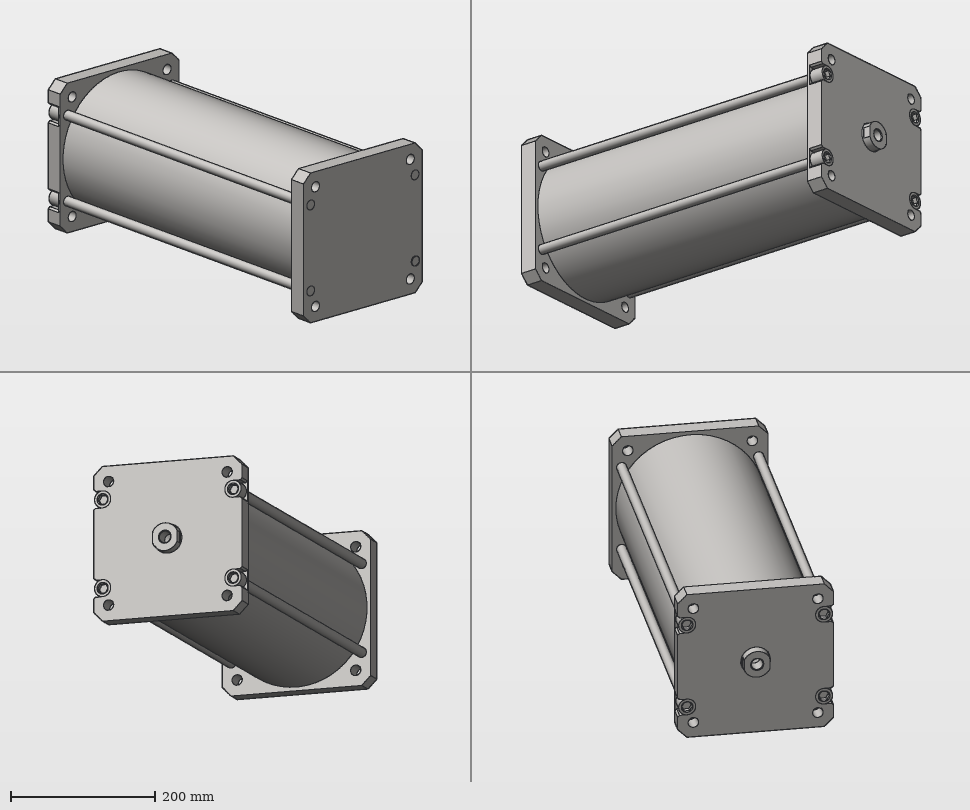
import cadquery as cq
import math

TOTAL_LENGTH = 549.0
NOSE_LENGTH = 12.0
LONG_ROD_STICKOUT = 1.5
PLATE_THICKNESS = 25.0

SHAFT_TIP_X = -TOTAL_LENGTH / 2
FRONT_PLATE_X = SHAFT_TIP_X + NOSE_LENGTH
BARREL_START_X = FRONT_PLATE_X + PLATE_THICKNESS
REAR_FACE_X = TOTAL_LENGTH / 2 - LONG_ROD_STICKOUT
BARREL_END_X = REAR_FACE_X - PLATE_THICKNESS

PLATE_SIDE = 220.0
PLATE_CHAMFER = 13.0
MOUNT_HOLE_DIAMETER = 15.0
MOUNT_HOLE_SPACING = 176.0

BARREL_RADIUS = 105.0

SHAFT_RADIUS = 20.0
SHAFT_CLEARANCE = 1.0
FLAT_WIDTH = 36.0
FLAT_LENGTH = 10.5
SHAFT_BORE_RADIUS = 8.0
SHAFT_BORE_CHAMFER = 1.0
SHAFT_BORE_DEPTH = 22.0
DRILL_POINT_ANGLE = 118.0

ROD_RADIUS = 7.0
ROD_Y = 96.5
ROD_Z = 63.0
HEAD_RADIUS = 12.0
MOUTH_CHAMFER = 3.0
HEAD_POCKET_DEPTH = 21.5
SOCKET_WIDTH = 13.0
SOCKET_DEPTH = 8.0
SOCKET_MOUTH_RADIUS = 8.0

ROD_POSITIONS = [(y, z) for y in (-ROD_Y, ROD_Y) for z in (-ROD_Z, ROD_Z)]
LONG_ROD_POSITION = (ROD_Y, -ROD_Z)


def section_plane(x):
    """Plane across the X axis, with local coordinates (Y, Z) and its normal along +X."""
    return cq.Workplane("YZ", origin=(x, 0, 0))


def make_plate(start_x):
    """Square plate with bevelled corners, four mounting holes and four tie-rod holes."""
    return (
        section_plane(start_x)
        .rect(PLATE_SIDE, PLATE_SIDE)
        .extrude(PLATE_THICKNESS)
        .edges("|X")
        .chamfer(PLATE_CHAMFER)
        .cut(
            section_plane(start_x)
            .rect(MOUNT_HOLE_SPACING, MOUNT_HOLE_SPACING, forConstruction=True)
            .vertices()
            .circle(MOUNT_HOLE_DIAMETER / 2)
            .extrude(PLATE_THICKNESS)
        )
        .cut(
            section_plane(start_x)
            .pushPoints(ROD_POSITIONS)
            .circle(ROD_RADIUS)
            .extrude(PLATE_THICKNESS)
        )
    )


def make_head_pocket(y, z):
    """Round-ended pocket for a tie-rod head, bevelled where it opens through the plate's side."""
    outward = math.copysign(1, y)
    side_y = outward * PLATE_SIDE / 2
    bevel_start_y = side_y - outward * MOUTH_CHAMFER
    mouth_half_width = HEAD_RADIUS + MOUTH_CHAMFER
    return (
        section_plane(FRONT_PLATE_X)
        .moveTo(y, z + HEAD_RADIUS)
        .threePointArc((y - outward * HEAD_RADIUS, z), (y, z - HEAD_RADIUS))
        .lineTo(bevel_start_y, z - HEAD_RADIUS)
        .lineTo(side_y, z - mouth_half_width)
        .lineTo(side_y, z + mouth_half_width)
        .lineTo(bevel_start_y, z + HEAD_RADIUS)
        .close()
        .extrude(HEAD_POCKET_DEPTH)
    )


def make_front_plate():
    """End plate with the shaft hole and the side-opening head pockets."""
    plate = make_plate(FRONT_PLATE_X)
    hole_radius = SHAFT_RADIUS + SHAFT_CLEARANCE
    shaft_hole = section_plane(FRONT_PLATE_X).circle(hole_radius).extrude(PLATE_THICKNESS)
    plate = plate.cut(shaft_hole)
    for y, z in ROD_POSITIONS:
        plate = plate.cut(make_head_pocket(y, z))
    return plate


def make_barrel():
    """Plain round barrel filling the space between the two end plates."""
    return section_plane(BARREL_START_X).circle(BARREL_RADIUS).extrude(BARREL_END_X - BARREL_START_X)


def make_shaft():
    """Round shaft with two wrench flats at its tip and a drilled, cone-bottomed end bore."""
    shaft = section_plane(SHAFT_TIP_X).circle(SHAFT_RADIUS).extrude(BARREL_START_X - SHAFT_TIP_X)
    cutter_side = 4 * SHAFT_RADIUS
    flats = (
        section_plane(SHAFT_TIP_X)
        .rect(cutter_side, cutter_side)
        .rect(FLAT_WIDTH, cutter_side)
        .extrude(FLAT_LENGTH)
    )
    cone_length = SHAFT_BORE_RADIUS / math.tan(math.radians(DRILL_POINT_ANGLE / 2))
    bore_end_x = SHAFT_TIP_X + SHAFT_BORE_DEPTH
    bore = (
        cq.Workplane("XY")
        .moveTo(SHAFT_TIP_X, 0)
        .lineTo(SHAFT_TIP_X, SHAFT_BORE_RADIUS + SHAFT_BORE_CHAMFER)
        .lineTo(SHAFT_TIP_X + SHAFT_BORE_CHAMFER, SHAFT_BORE_RADIUS)
        .lineTo(bore_end_x, SHAFT_BORE_RADIUS)
        .lineTo(bore_end_x + cone_length, 0)
        .close()
        .revolve(360, (0, 0, 0), (1, 0, 0))
    )
    return shaft.cut(flats).cut(bore)


def make_socket(y, z):
    """Hexagonal wrench socket with a 45-degree conical lead-in down to its flats."""
    corner_diameter = SOCKET_WIDTH / math.cos(math.radians(30))
    hexagon = section_plane(FRONT_PLATE_X).center(y, z).polygon(6, corner_diameter).extrude(SOCKET_DEPTH)
    lead_in_depth = SOCKET_MOUTH_RADIUS - SOCKET_WIDTH / 2
    lead_in = (
        section_plane(FRONT_PLATE_X)
        .center(y, z)
        .circle(SOCKET_MOUTH_RADIUS)
        .extrude(lead_in_depth, taper=45)
    )
    return hexagon.union(lead_in)


def make_tie_rod(y, z):
    """Socket-head tie rod: the head fills its pocket's depth and the stem passes both plates."""
    end_x = REAR_FACE_X
    if (y, z) == LONG_ROD_POSITION:
        end_x += LONG_ROD_STICKOUT
    head = section_plane(FRONT_PLATE_X).center(y, z).circle(HEAD_RADIUS).extrude(HEAD_POCKET_DEPTH)
    stem_start_x = FRONT_PLATE_X + HEAD_POCKET_DEPTH
    stem = section_plane(stem_start_x).center(y, z).circle(ROD_RADIUS).extrude(end_x - stem_start_x)
    return head.union(stem).cut(make_socket(y, z))


front_plate = make_front_plate()
rear_plate = make_plate(BARREL_END_X)
barrel = make_barrel()
shaft = make_shaft()
tie_rods = [make_tie_rod(y, z) for y, z in ROD_POSITIONS]

result = cq.Compound.makeCompound(
    [front_plate.val(), rear_plate.val(), barrel.val(), shaft.val(), *[rod.val() for rod in tie_rods]]
)